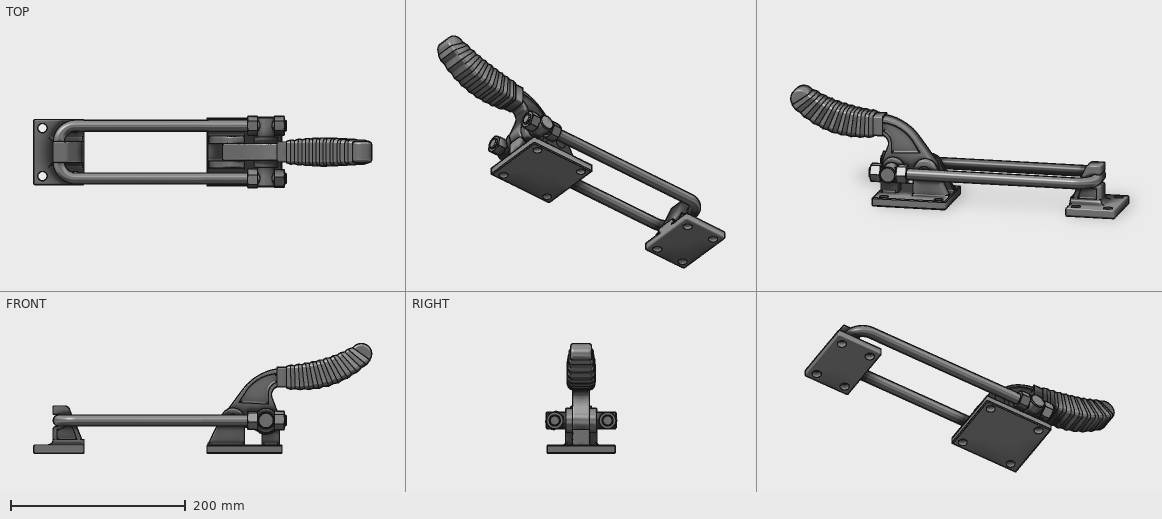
import cadquery as cq
import math

plate_thickness = 10.0
almost = 0.99

rod_diameter = 12.8
rod_clearance_diameter = 13.0
rod_arm_y = 30.0
rod_z = 38.0
rod_bend_radius = 19.5
rod_loop_x = 28.5
rod_thread_start_x = 193.5
rod_tip_x = 289.0
rod_tip_chamfer = 1.0

crossbar_x = 265.7
crossbar_diameter = 19.0
crossbar_length = 80.5
crossbar_chamfer = 1.0

nut_across_flats = 19.0
nut_thickness = 11.5
nut_bevel_angle = 20.0

hook_plate_length = 57.5
hook_plate_width = 75.0
hook_plate_fillet = 2.0
hook_hole_diameter = 10.5
hook_hole_inset = 10.0
hook_front_x = 22.0
hook_width = 24.0
hook_top_z = 54.5
hook_shoulder_x = 39.5
hook_shoulder_radius = 5.5
hook_lip_radius = 4.3
hook_edge_fillet = 1.5
hook_foot_fillet = 5.8
hook_pocket_depth = 2.0
hook_pocket_floor_radius = 1.5
hook_pocket_slot_radius = 10.0
hook_pocket_back_x = 49.5
hook_pocket_top_x = 43.7

base_plate_start_x = 198.0
base_plate_length = 86.3
base_plate_width = 78.0
base_plate_chamfer = 1.0
base_hole_diameter = 10.0
base_hole_inset_x = 10.0
base_hole_pitch_x = 64.2
base_hole_pitch_y = 61.0
cheek_inner_y = 10.0
cheek_outer_y = 18.0
cheek_start_x = 199.2
cheek_radius = 13.5
cheek_edge_fillet = 2.5
foot_fillet = 2.5
post_start_x = 261.0
post_end_x = 281.2
post_top_z = 28.0

pivot_x = 228.0
pivot_z = 38.5
pivot_diameter = 12.8
pivot_dimple_diameter = 9.0
pivot_dimple_depth = 0.8
lever_thickness = 19.5
lever_pivot_radius = 11.5
lever_eye_radius = 16.0
lever_edge_fillet = 2.0
lever_pocket_depth = 3.0
lever_pocket_floor_radius = 2.5
boss_radius = 14.0
boss_width = 35.0
boss_edge_fillet = 1.0

grip_start_x = 278.5
grip_collar_end_x = 289.5
grip_collar_height = 23.0
grip_collar_width = 23.2
grip_start_z = 87.5
grip_tip_x = 375.0
grip_tip_z = 114.0
grip_tip_radius = 12.0
grip_tip_width = 24.0
grip_tip_fillet = 3.5
grip_flat_width = 19.5
grip_rib_count = 9
grip_rib_height = 27.0
grip_rib_width = 27.0
grip_belly_height = 5.0
grip_belly_width = 5.5
grip_groove_depth = 1.0
grip_end_tilt = 55.0


def plate(start_x, length, width):
    box = cq.Workplane("XY").box(length, width, plate_thickness, centered=(False, True, False))
    return box.translate((start_x, 0, 0))


def y_cylinder(x, z, diameter, length):
    """Cylinder along Y, centred on the centre plane."""
    return cq.Workplane("XZ", origin=(x, length / 2, z)).circle(diameter / 2).extrude(length)


def x_cylinder(x_from, x_to, y, diameter):
    """Cylinder along X at the height of the U-bolt."""
    return cq.Workplane("YZ", origin=(x_from, y, rod_z)).circle(diameter / 2).extrude(x_to - x_from)


def y_prism(outline, y_from, y_to):
    """Extrude an XZ outline between two Y positions."""
    return outline.extrude(-(y_to - y_from)).translate((0, y_from, 0))


def on_circle(centre, radius, degrees):
    angle = math.radians(degrees)
    return centre[0] + radius * math.cos(angle), centre[1] + radius * math.sin(angle)


def tangent_point(point, centre, radius, side):
    """Where a line from a point touches a circle; side is +1 or -1."""
    dx, dz = centre[0] - point[0], centre[1] - point[1]
    reach = math.hypot(dx, dz)
    angle = math.atan2(dz, dx) + math.pi - side * math.acos(radius / reach)
    return centre[0] + radius * math.cos(angle), centre[1] + radius * math.sin(angle)


def fillet_edge_at(body, point, radius):
    return body.edges(cq.selectors.NearestToPointSelector(point)).fillet(radius)


def pocket_tool(outline, side, width, depth, floor_radius):
    """Cutter for a recess in the -Y or +Y side face (side -1 or 1) of a centred body."""
    face_y = side * width / 2
    floor_y = face_y - side * depth
    tool = y_prism(outline, *sorted((face_y, floor_y)))
    return tool.faces(">Y" if side < 0 else "<Y").edges().fillet(floor_radius)


def foot_flare(start_x, end_x, y, width, radius):
    """Concave flare on the plate along both Y sides of an upright centred at y."""
    length = end_x - start_x
    block = cq.Workplane("XY").box(length, width + 2 * radius, radius, centered=(False, True, False))
    for side in (-1, 1):
        groove = cq.Workplane("YZ").center(side * (width / 2 + radius), radius).circle(radius).extrude(length)
        block = block.cut(groove)
    return block.translate((start_x, y, plate_thickness))


def drill_plate(body, hole_x, hole_y, diameter):
    """Drill a through hole at each X, on both sides of the centre plane."""
    spots = [(x, side * hole_y) for x in hole_x for side in (-1, 1)]
    return body.cut(cq.Workplane("XY").pushPoints(spots).circle(diameter / 2).extrude(plate_thickness))


def make_hook():
    body = plate(0, hook_plate_length, hook_plate_width)
    body = body.edges("|Z").fillet(hook_plate_fillet)
    body = body.faces("<Z or >Z").edges().fillet(hook_plate_fillet * almost)
    body = body.union(make_hook_block()).union(make_hook_foot())
    hole_x = (hook_hole_inset, hook_plate_length - hook_hole_inset)
    hole_y = hook_plate_width / 2 - hook_hole_inset
    return drill_plate(body, hole_x, hole_y, hook_hole_diameter)


def make_hook_block():
    """Upright with a slot, open to the front, that holds the closed end of the U-bolt."""
    slot_radius = rod_clearance_diameter / 2
    slot_top = rod_z + slot_radius
    slot_bottom = rod_z - slot_radius
    root_z = plate_thickness / 2
    outline = (
        cq.Workplane("XZ")
        .moveTo(hook_front_x, root_z)
        .lineTo(hook_plate_length, root_z)
        .lineTo(hook_plate_length, plate_thickness)
        .lineTo(hook_shoulder_x, hook_top_z)
        .lineTo(hook_front_x, hook_top_z)
        .lineTo(hook_front_x, slot_top)
        .lineTo(rod_loop_x, slot_top)
        .threePointArc((rod_loop_x + slot_radius, rod_z), (rod_loop_x, slot_bottom))
        .lineTo(hook_front_x, slot_bottom)
        .close()
    )
    block = y_prism(outline, -hook_width / 2, hook_width / 2)
    block = fillet_edge_at(block, (hook_shoulder_x, 0, hook_top_z), hook_shoulder_radius)
    block = fillet_edge_at(block, (hook_front_x, 0, slot_bottom), hook_lip_radius)
    block = fillet_edge_at(block, (hook_front_x, 0, hook_top_z), hook_edge_fillet)
    block = fillet_edge_at(block, (hook_front_x, 0, slot_top), hook_edge_fillet)
    block = block.faces("<Y or >Y").edges("not(<Z)").fillet(hook_edge_fillet * almost)
    for side in (-1, 1):
        block = block.cut(make_hook_pocket(side))
    return block


def make_hook_pocket(side):
    """Shallow side recess under the slot, with a rounded floor edge."""
    rod_axis = (rod_loop_x, rod_z)
    low_z = plate_thickness + hook_foot_fillet
    slot_end = on_circle(rod_axis, hook_pocket_slot_radius, 320)
    slot_middle = on_circle(rod_axis, hook_pocket_slot_radius, 285)
    slot_start = on_circle(rod_axis, hook_pocket_slot_radius, 260)
    outline = (
        cq.Workplane("XZ")
        .moveTo(slot_start[0], low_z)
        .lineTo(hook_pocket_back_x, low_z)
        .lineTo(hook_pocket_top_x, slot_end[1])
        .lineTo(*slot_end)
        .threePointArc(slot_middle, slot_start)
        .close()
    )
    return pocket_tool(outline, side, hook_width, hook_pocket_depth, hook_pocket_floor_radius)


def make_hook_foot():
    """Concave flare around the front and the sides of the upright."""
    r = hook_foot_fillet
    foot = foot_flare(hook_front_x - r, hook_plate_length, 0, hook_width, r)
    return foot.cut(y_cylinder(hook_front_x - r, plate_thickness + r, 2 * r, hook_plate_width))


def make_base():
    body = plate(base_plate_start_x, base_plate_length, base_plate_width)
    body = body.edges("|Z").fillet(base_plate_chamfer)
    body = body.faces(">Z or <Z").edges().chamfer(base_plate_chamfer * almost)
    for side in (-1, 1):
        body = body.union(make_cheek(side)).union(make_cheek_flare(side))
    body = body.union(make_post())
    body = body.cut(y_cylinder(pivot_x, pivot_z, pivot_diameter, 2 * cheek_outer_y))
    first_x = base_plate_start_x + base_hole_inset_x
    return drill_plate(body, (first_x, first_x + base_hole_pitch_x), base_hole_pitch_y / 2, base_hole_diameter)


def make_cheek(side):
    """Ear with a round top and a sloped front, rounded along its outer face."""
    cheek = y_prism(cheek_outline(), *sorted((side * cheek_inner_y, side * cheek_outer_y)))
    return cheek.faces("<Y" if side < 0 else ">Y").edges("not(<Z)").fillet(cheek_edge_fillet)


def cheek_outline():
    """The sloped front is tangent to the round top."""
    foot = (cheek_start_x, plate_thickness)
    touch = tangent_point(foot, (pivot_x, pivot_z), cheek_radius, 1)
    return (
        cq.Workplane("XZ")
        .moveTo(*foot)
        .lineTo(*touch)
        .threePointArc((pivot_x, pivot_z + cheek_radius), (pivot_x + cheek_radius, pivot_z))
        .lineTo(pivot_x + cheek_radius, plate_thickness)
        .close()
    )


def make_cheek_flare(side):
    middle_y = side * (cheek_inner_y + cheek_outer_y) / 2
    return foot_flare(cheek_start_x, pivot_x + cheek_radius, middle_y, cheek_outer_y - cheek_inner_y, foot_fillet)


def make_post():
    """Stop under the lever, hollowed to seat its round eye."""
    length = post_end_x - post_start_x
    height = post_top_z - plate_thickness
    post = (
        cq.Workplane("XY", origin=(post_start_x, 0, plate_thickness))
        .box(length, lever_thickness, height, centered=(False, True, False))
        .edges("|Z")
        .fillet(foot_fillet)
    )
    flare = foot_flare(post_start_x + foot_fillet, post_end_x - foot_fillet, 0, lever_thickness, foot_fillet)
    return post.union(flare).cut(y_cylinder(crossbar_x, rod_z, 2 * lever_eye_radius, lever_thickness))


def grip_section(step):
    """Section at a groove (even step) or at the crest of a rib (odd step)."""
    u = step / (2 * grip_rib_count)
    x = grip_collar_end_x + u * (grip_tip_x - grip_collar_end_x)
    z = grip_start_z + u**2.5 * (grip_tip_z - grip_start_z)
    tilt = math.radians(grip_end_tilt * u**1.5)
    groove = 0 if step % 2 else 2 * grip_groove_depth
    height = grip_rib_height + grip_belly_height * math.sin(math.pi * u) - groove
    width = grip_rib_width + grip_belly_width * math.sin(math.pi * u) - groove
    plane = cq.Plane(origin=(x, 0, z), xDir=(0, 1, 0), normal=(math.cos(tilt), 0, math.sin(tilt)))
    corner = (width - grip_flat_width) / 2
    return cq.Workplane(plane).sketch().rect(width, height).vertices().fillet(corner).finalize()


def make_grip():
    """Ribbed, upward-curving handle with a plain collar and a round tip."""
    wires = [
        cq.Wire.assembleEdges(grip_section(step)._getFaces()[0].outerWire().Edges())
        for step in range(2 * grip_rib_count + 1)
    ]
    ribs = cq.Workplane(cq.Solid.makeLoft(wires, True))
    tip = y_cylinder(grip_tip_x, grip_tip_z, 2 * grip_tip_radius, grip_tip_width).edges().fillet(grip_tip_fillet)
    collar = (
        cq.Workplane("YZ", origin=(grip_start_x, 0, grip_start_z))
        .rect(grip_collar_width, grip_collar_height)
        .extrude(grip_collar_end_x - grip_start_x)
        .edges("|X")
        .fillet((grip_collar_width - grip_flat_width) / 2)
    )
    return ribs.union(tip).union(collar)


pivot = (pivot_x, pivot_z)
eye = (crossbar_x, rod_z)
brow_start = on_circle(pivot, lever_pivot_radius, 143.5)
brow_end = (240.0, 74.3)
brow_arc_middle = (257.5, 89.7)
brow_top_z = 97.0
throat_top_z = 76.2
throat_middle = (273.0, 71.0)
throat_bottom = (272.7, 64.2)
eye_right = on_circle(eye, lever_eye_radius, 30)
eye_left = on_circle(eye, lever_eye_radius, -115)
belly_middle = (243.5, 29.8)
pivot_bottom = on_circle(pivot, lever_pivot_radius, -55)
pivot_left = on_circle(pivot, lever_pivot_radius, -135)
pocket_heel = (234.8, 58.5)
pocket_brow = (243.3, 72.0)
pocket_brow_middle = (258.0, 85.5)
pocket_top_z = 91.5
pocket_throat_z = 81.5
pocket_throat_middle = (270.8, 76.2)
pocket_throat_end = (268.5, 68.0)
pocket_toe = (268.5, 56.5)


def make_lever():
    """Lever plate with side pockets, crossbar boss, pivot ends and grip."""
    body = make_lever_plate()
    for side in (-1, 1):
        body = body.cut(make_lever_pocket(side))
    boss = y_cylinder(crossbar_x, rod_z, 2 * boss_radius, boss_width).edges().fillet(boss_edge_fillet)
    body = body.union(boss).union(make_grip()).union(make_trunnions())
    return body.cut(y_cylinder(crossbar_x, rod_z, crossbar_diameter, boss_width))


def make_trunnions():
    """Pivot that fits the cheek holes, with a conical dimple in each end."""
    pin = y_cylinder(pivot_x, pivot_z, pivot_diameter, 2 * cheek_outer_y)
    end_centre = cq.Vector(pivot_x, -cheek_outer_y, pivot_z)
    cone = cq.Solid.makeCone(pivot_dimple_diameter / 2, 0, pivot_dimple_depth, end_centre, cq.Vector(0, 1, 0))
    dimple = cq.Workplane(cone)
    return pin.cut(dimple).cut(dimple.mirror("XZ"))


def make_lever_plate():
    outline = (
        cq.Workplane("XZ")
        .moveTo(*brow_start)
        .lineTo(*brow_end)
        .threePointArc(brow_arc_middle, (grip_start_x, brow_top_z))
        .lineTo(grip_start_x, throat_top_z)
        .threePointArc(throat_middle, throat_bottom)
        .lineTo(*eye_right)
        .threePointArc((crossbar_x, rod_z - lever_eye_radius), eye_left)
        .threePointArc(belly_middle, pivot_bottom)
        .threePointArc(pivot_left, brow_start)
        .close()
    )
    body = y_prism(outline, -lever_thickness / 2, lever_thickness / 2)
    return body.faces("<Y or >Y").edges("not(>X)").fillet(lever_edge_fillet)


def make_lever_pocket(side):
    outline = (
        cq.Workplane("XZ")
        .moveTo(*pocket_heel)
        .lineTo(*pocket_brow)
        .threePointArc(pocket_brow_middle, (grip_start_x, pocket_top_z))
        .lineTo(grip_start_x, pocket_throat_z)
        .threePointArc(pocket_throat_middle, pocket_throat_end)
        .lineTo(*pocket_toe)
        .close()
    )
    return pocket_tool(outline, side, lever_thickness, lever_pocket_depth, lever_pocket_floor_radius)


def make_u_bolt():
    """Round rod swept along one straight arm, the closed end and the other arm."""
    r = rod_bend_radius
    bend_x = rod_loop_x + r
    end_y = rod_arm_y - r
    cut45 = r * math.sqrt(0.5)
    path = (
        cq.Workplane("XY", origin=(0, 0, rod_z))
        .moveTo(rod_thread_start_x, -rod_arm_y)
        .lineTo(bend_x, -rod_arm_y)
        .threePointArc((bend_x - cut45, -end_y - cut45), (rod_loop_x, -end_y))
        .lineTo(rod_loop_x, end_y)
        .threePointArc((bend_x - cut45, end_y + cut45), (bend_x, rod_arm_y))
        .lineTo(rod_thread_start_x, rod_arm_y)
    )
    bolt = cq.Workplane("YZ", origin=(rod_thread_start_x, -rod_arm_y, rod_z)).circle(rod_diameter / 2).sweep(path)
    for side in (-1, 1):
        thread = x_cylinder(rod_thread_start_x, rod_tip_x, side * rod_arm_y, rod_diameter)
        bolt = bolt.union(thread.faces(">X").edges().chamfer(rod_tip_chamfer), clean=False)
    return bolt


crossbar_front_x = crossbar_x - crossbar_diameter / 2
crossbar_back_x = crossbar_x + crossbar_diameter / 2


def make_crossbar():
    bar = y_cylinder(crossbar_x, rod_z, crossbar_diameter, crossbar_length).edges().chamfer(crossbar_chamfer)
    for side in (-1, 1):
        bar = bar.cut(x_cylinder(crossbar_front_x, crossbar_back_x, side * rod_arm_y, rod_clearance_diameter))
    return bar


def make_nut(start_x, y, turn):
    """Hexagon nut, bevelled on both faces and turned about the rod by an angle in degrees."""
    corner_diameter = nut_across_flats / math.cos(math.pi / 6)
    rim = (corner_diameter - nut_across_flats) / 2
    bevel = rim * math.tan(math.radians(nut_bevel_angle))
    bevelled = x_cylinder(0, nut_thickness, 0, corner_diameter).edges().chamfer(bevel, rim)
    nut = cq.Workplane("YZ", origin=(0, 0, rod_z)).polygon(6, corner_diameter).extrude(nut_thickness)
    nut = nut.intersect(bevelled).cut(x_cylinder(0, nut_thickness, 0, rod_diameter))
    axis_from, axis_to = (0, 0, rod_z), (1, 0, rod_z)
    return nut.rotate(axis_from, axis_to, turn).translate((start_x, y, 0))


nut_places = [
    (crossbar_front_x - nut_thickness, rod_arm_y, 0),
    (crossbar_back_x, rod_arm_y, 0),
    (crossbar_front_x - nut_thickness, -rod_arm_y, 10),
    (crossbar_back_x, -rod_arm_y, 22),
]

hook = make_hook()
base = make_base()
lever = make_lever()
u_bolt = make_u_bolt()
crossbar = make_crossbar()
nuts = [make_nut(*place) for place in nut_places]

result = cq.Compound.makeCompound(
    [hook.val(), base.val(), *lever.vals(), u_bolt.val(), crossbar.val(), *[nut.val() for nut in nuts]]
)